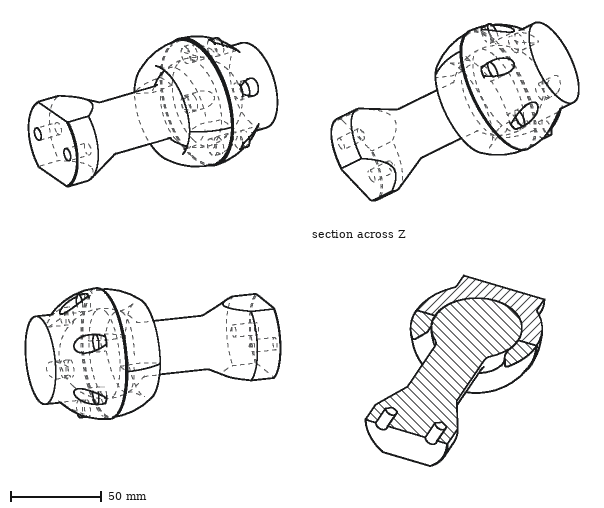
import cadquery as cq
import math


overall_length = 132.5

housing_diameter = 73.0
housing_radius = housing_diameter / 2
split_chamfer = 0.5

neck_radius = 24.5
neck_end_y = 37.5
neck_fillet = 2.0

jaw_shift = 0.8

throat_radius = 23.5
throat_y = -14.2
throat_fillet = 5.3
mouth_rim_y = -23.6
mouth_rim_fillet = 1.0

ball_radius = 25.0
stem_radius = 15.0
stem_fillet = 5.0
stud_end_y = neck_end_y - overall_length
flare_start_y = -60.0
flare_fillet = 4.0
foot_radius = 25.0
foot_length = 13.9
foot_chamfer = 0.5
foot_thickness = 40.0
foot_hole_radius = 3.5
foot_hole_spacing = 30.0
foot_hole_depth = 13.2
drill_tip_angle = 118

screw_count = 6
screw_circle_radius = 30.6
screw_head_radius = 4.9
screw_head_height = 4.5
screw_seat_y = 10.1
screw_step_angle = 360 / screw_count


def ball(radius):
    """Sphere round the origin, with its poles on the Y axis."""
    return cq.Workplane("XZ").sphere(radius)


def cylinder(radius, start_y, end_y):
    """Cylinder on the Y axis."""
    return cq.Workplane("XZ", origin=(0, start_y, 0)).circle(radius).extrude(start_y - end_y)


def turned(points):
    """Solid turned round the Y axis from an outline of (radius, y) points."""
    return cq.Workplane("XY").polyline(points).close().revolve(360, (0, 0, 0), (0, 1, 0))


def edges_at_y(solid, y):
    """Edges of the solid that lie in the plane at height y on the Y axis."""
    reach = overall_length
    tolerance = 0.01
    low_corner = (-reach, y - tolerance, -reach)
    high_corner = (reach, y + tolerance, reach)
    return solid.edges(cq.selectors.BoxSelector(low_corner, high_corner))


def sphere_y(sphere_radius, circle_radius):
    """Distance from a sphere's centre to the plane of a circle on it."""
    return math.sqrt(sphere_radius**2 - circle_radius**2)


def half_housing(end_y):
    """The half of the housing sphere towards end_y, with its split edge chamfered."""
    half = ball(housing_radius).intersect(cylinder(housing_diameter, 0, end_y))
    return edges_at_y(half, 0).chamfer(split_chamfer)


def at_screw(solid, index):
    """Move a solid on the Y axis to one of the screw places; place 0 is straight up."""
    return solid.translate((0, 0, screw_circle_radius)).rotate((0, 0, 0), (0, 1, 0), index * screw_step_angle)


def make_back_shell():
    shell = half_housing(housing_diameter).union(cylinder(neck_radius, 0, neck_end_y))
    shell = edges_at_y(shell, sphere_y(housing_radius, neck_radius)).fillet(neck_fillet)
    for index in range(screw_count):
        counterbore = cylinder(screw_head_radius, screw_seat_y, neck_end_y)
        shell = shell.cut(at_screw(counterbore, index))
    return shell.cut(ball(ball_radius))


def make_jaw(side):
    """Jaw above (side = 1) or below (side = -1) the plane Z = 0."""
    rim_radius = sphere_y(housing_radius, mouth_rim_y)
    cone_slope = (rim_radius - throat_radius) / (throat_y - mouth_rim_y)
    outer_y = -housing_radius
    outer_radius = rim_radius + cone_slope * (mouth_rim_y - outer_y)
    mouth = turned([
        (0, 0),
        (throat_radius, 0),
        (throat_radius, throat_y),
        (outer_radius, outer_y),
        (0, outer_y),
    ])
    front = half_housing(-housing_diameter).cut(mouth)
    front = edges_at_y(front, mouth_rim_y).fillet(mouth_rim_fillet)
    front = edges_at_y(front, throat_y).fillet(throat_fillet)

    size = 2 * housing_diameter
    half_space = cq.Workplane("XY").box(size, size, size).translate((0, 0, side * size / 2))
    return front.translate((0, 0, -side * jaw_shift)).intersect(half_space).cut(ball(ball_radius))


def make_foot_hole():
    """Drilled hole with a conical bottom, on the Y axis at the end of the stud."""
    bottom_y = stud_end_y + foot_hole_depth
    tip_y = bottom_y + foot_hole_radius / math.tan(math.radians(drill_tip_angle / 2))
    return turned([(0, stud_end_y), (foot_hole_radius, stud_end_y), (foot_hole_radius, bottom_y), (0, tip_y)])


def make_ball_stud():
    foot_start_y = stud_end_y + foot_length
    shank = turned([
        (0, 0),
        (stem_radius, 0),
        (stem_radius, flare_start_y),
        (foot_radius, foot_start_y),
        (foot_radius, stud_end_y + foot_chamfer),
        (foot_radius - foot_chamfer, stud_end_y),
        (0, stud_end_y),
    ])
    shank = edges_at_y(shank, flare_start_y).fillet(flare_fillet)

    between_flats = cq.Workplane("XY").box(2 * foot_radius, 2 * overall_length, foot_thickness)
    stud = shank.intersect(between_flats).union(ball(ball_radius))
    stud = edges_at_y(stud, -sphere_y(ball_radius, stem_radius)).fillet(stem_fillet)

    for x in (-foot_hole_spacing / 2, foot_hole_spacing / 2):
        stud = stud.cut(make_foot_hole().translate((x, 0, 0)))
    return stud


def make_screw(index):
    head = cylinder(screw_head_radius, screw_seat_y, screw_seat_y + screw_head_height)
    return at_screw(head, index)


back_shell = make_back_shell()
jaws = [make_jaw(side) for side in (1, -1)]
ball_stud = make_ball_stud()
screws = [make_screw(index) for index in range(screw_count)]

result = cq.Compound.makeCompound([
    back_shell.val(),
    *[jaw.val() for jaw in jaws],
    ball_stud.val(),
    *[screw.val() for screw in screws],
])